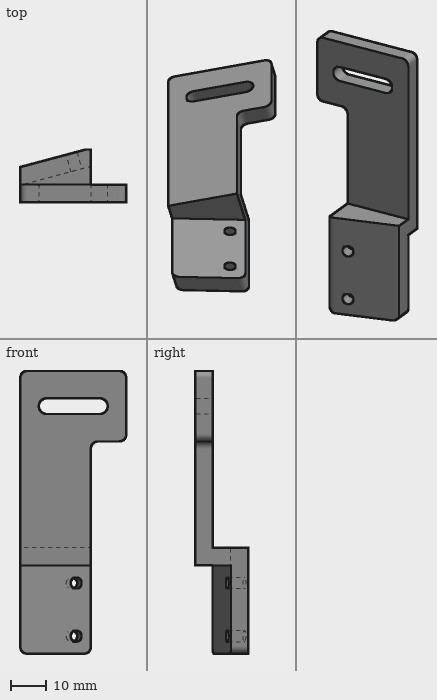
import cadquery as cq
import math

height = 80.0
head_width = 30.0
stem_width = 20.0
head_height = 20.0
thickness = stem_width / 4
corner_radius = 2.0

slot_width = 4.4
slot_center_spacing = head_width / 2
slot_drop = 10.0

foot_height = 6 * thickness
foot_angle = 15.0
foot_back_left = 2 * thickness
foot_back_limit = 3 * thickness
foot_depth = thickness / math.cos(math.radians(foot_angle))

hole_diameter = 3.2
hole_front_x = 15.8
hole_bottom_z = thickness
hole_spacing = 3 * thickness
hole_cut_length = 3 * thickness

plate_bottom = foot_height - thickness
head_bottom = height - head_height
foot_slope = math.tan(math.radians(foot_angle))
foot_front_left = foot_back_left - foot_depth
foot_front_right = foot_front_left + stem_width * foot_slope
flat_start_x = (foot_back_limit - foot_back_left) / foot_slope


def make_plate():
    """Upright L-shaped plate with rounded head corners."""
    outline = [
        (0, plate_bottom),
        (stem_width, plate_bottom),
        (stem_width, head_bottom),
        (head_width, head_bottom),
        (head_width, height),
        (0, height),
    ]
    plate = cq.Workplane("XZ").polyline(outline).close().extrude(-thickness)
    return plate.edges("|Y").edges("not <Z").fillet(corner_radius)


def make_foot():
    """Sloped slab with rounded bottom corners and a web joining it to the plate."""
    slab_outline = [
        (0, foot_front_left),
        (stem_width, foot_front_right),
        (stem_width, foot_back_limit),
        (flat_start_x, foot_back_limit),
        (0, foot_back_left),
    ]
    slab = cq.Workplane("XY").polyline(slab_outline).close().extrude(foot_height)

    rounded_envelope = (
        cq.Workplane("XY")
        .box(stem_width, foot_back_limit, foot_height, centered=False)
        .faces("<Z")
        .edges("|Y")
        .fillet(corner_radius)
    )
    slab = slab.intersect(rounded_envelope)

    web_outline = [
        (0, 0),
        (stem_width, 0),
        (stem_width, foot_back_limit),
        (flat_start_x, foot_back_limit),
        (0, foot_back_left),
    ]
    web = (
        cq.Workplane("XY", origin=(0, 0, plate_bottom))
        .polyline(web_outline)
        .close()
        .extrude(foot_height - plate_bottom)
    )
    return slab.union(web)


def make_slot():
    """Horizontal through slot centered in the head."""
    return (
        cq.Workplane("XZ")
        .center(head_width / 2, height - slot_drop)
        .slot2D(slot_center_spacing + slot_width, slot_width)
        .extrude(-thickness)
    )


def make_foot_hole(z):
    """Through hole square to the sloped foot."""
    angle = math.radians(foot_angle)
    axis = cq.Vector(-math.sin(angle), math.cos(angle), 0)
    front_y = foot_front_left + hole_front_x * foot_slope
    front_center = cq.Vector(hole_front_x, front_y, z)
    start = front_center - axis * thickness
    return cq.Workplane(
        cq.Solid.makeCylinder(hole_diameter / 2, hole_cut_length, start, axis)
    )


result = make_plate().union(make_foot()).cut(make_slot())
for hole_z in (hole_bottom_z, hole_bottom_z + hole_spacing):
    result = result.cut(make_foot_hole(hole_z))